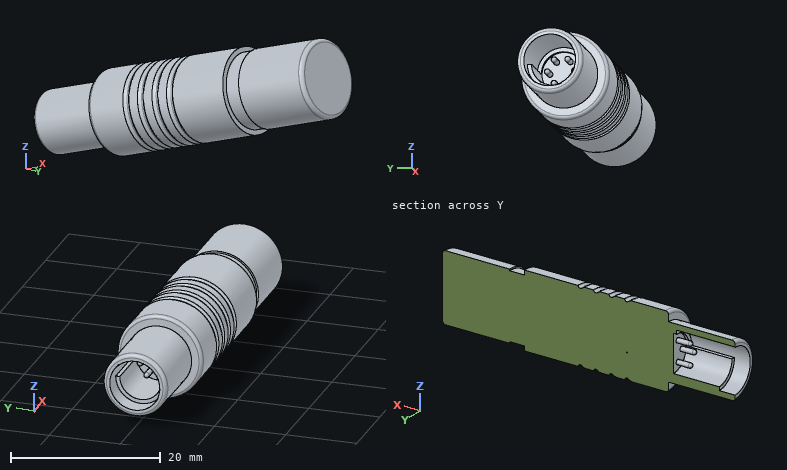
import cadquery as cq
import math

total_length = 47.5
nose_length = 10.8
body_end = 34.2
neck_end = 36.55

nose_radius = 9.0 / 2
body_radius = 12.0 / 2
neck_radius = 10.55 / 2
rear_radius = 11.0 / 2

nose_round = 0.5
body_round = 0.48
rear_round = 0.55

groove_count = 4
first_groove_x = 16.9
groove_pitch = 2.5
groove_radius = 0.35
ramp_angle = math.radians(30)

socket_radius = 3.5
socket_depth = 9.98
insert_bore_radius = 2.95
lower_half_start = 2.55
upper_half_start = 9.5

pin_count = 6
pin_radius = 0.4
pin_circle_radius = 1.85
pin_length = 2.38


def cylinder(start, end, radius):
    """Solid cylinder on the X axis between two X positions."""
    return cq.Workplane("YZ", origin=(start, 0, 0)).circle(radius).extrude(end - start)


def make_shell():
    """Stepped outer barrel with its rounded rims."""
    nose = cylinder(0, nose_length, nose_radius).faces("<X").edges().fillet(nose_round)
    body = cylinder(nose_length, body_end, body_radius).faces("<X").edges().fillet(body_round)
    neck = cylinder(body_end, neck_end, neck_radius)
    rear = cylinder(neck_end, total_length, rear_radius).faces(">X").edges().fillet(rear_round)
    return nose.union(body).union(neck).union(rear)


def make_groove(start_x):
    """Ring cut: a ramp down from start_x, then an arc that ends square to the body surface."""
    arc_center_x = start_x + groove_radius / math.sin(ramp_angle)

    def arc_point(angle):
        """Point on the groove bottom, with the angle taken from straight down toward +X."""
        return (
            arc_center_x + groove_radius * math.sin(angle),
            body_radius - groove_radius * math.cos(angle),
        )

    return (
        cq.Workplane("XY")
        .moveTo(start_x, body_radius)
        .lineTo(*arc_point(-ramp_angle))
        .threePointArc(arc_point(0), (arc_center_x + groove_radius, body_radius))
        .close()
        .revolve(360, (0, 0, 0), (1, 0, 0))
    )


def make_half_insert(start, side):
    """Half ring lining the socket from start to its floor; side is +1 for upper, -1 for lower."""
    length = socket_depth - start
    ring = cylinder(start, socket_depth, socket_radius).cut(
        cylinder(start, socket_depth, insert_bore_radius)
    )
    half_space = cq.Workplane("XY").box(
        length, 2 * socket_radius, socket_radius, centered=(False, True, True)
    ).translate((start, 0, side * socket_radius / 2))
    return ring.intersect(half_space)


def make_pins():
    """Ring of contact pins standing on the socket floor, each ending in a hemisphere."""
    dome_center_x = socket_depth - pin_length + pin_radius
    stems = (
        cq.Workplane("YZ", origin=(dome_center_x, 0, 0))
        .polarArray(pin_circle_radius, 0, 360, pin_count)
        .circle(pin_radius)
        .extrude(socket_depth - dome_center_x)
    )
    domes = (
        cq.Workplane("YZ", origin=(dome_center_x, 0, 0))
        .polarArray(pin_circle_radius, 0, 360, pin_count)
        .sphere(pin_radius)
    )
    return stems.union(domes)


result = make_shell()
for index in range(groove_count):
    result = result.cut(make_groove(first_groove_x + index * groove_pitch))
result = result.cut(cylinder(0, socket_depth, socket_radius))
result = result.union(make_half_insert(lower_half_start, -1))
result = result.union(make_half_insert(upper_half_start, 1))
result = result.union(make_pins())